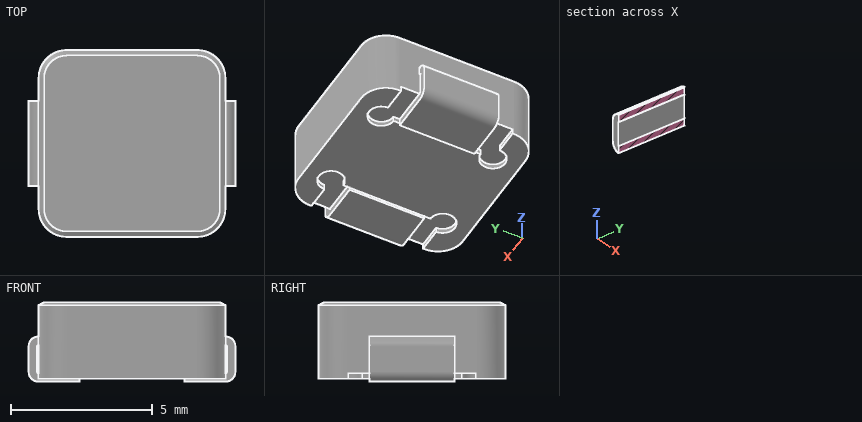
import cadquery as cq

overall_length = 7.3
overall_height = 2.8
standoff = 0.1

body_side = 6.6
corner_radius = 1.0
edge_bevel_width = 0.2
edge_bevel_height = 0.1
face_x = body_side / 2

terminal_width = 3.0
terminal_height = 1.6
terminal_thickness = 0.31
bend_outer_radius = overall_length / 2 - face_x
bend_inner_radius = bend_outer_radius - terminal_thickness
foot_length = 1.8
terminal_x = overall_length / 2
foot_end_x = terminal_x - foot_length

recess_width = 4.48
relief_radius = 0.49


def make_body():
    """Square block with rounded corners and a bevel around the top."""
    block = (
        cq.Workplane("XY")
        .workplane(offset=standoff)
        .rect(body_side, body_side)
        .extrude(overall_height - standoff)
        .edges("|Z")
        .fillet(corner_radius)
    )
    top_edges = block.edges(">Z").vals()
    bevelled = block.val().chamfer(edge_bevel_height, edge_bevel_width, top_edges)
    return cq.Workplane(obj=bevelled)


def make_foot_recess():
    """Shallow recess on the +X side with round reliefs at its two inner corners."""
    recess_depth = terminal_thickness - standoff
    recess_length = face_x - foot_end_x
    recess_center_x = (foot_end_x + face_x) / 2
    underside = cq.Workplane("XY").workplane(offset=standoff)
    recess = underside.center(recess_center_x, 0).rect(recess_length, recess_width).extrude(recess_depth)
    relief_centers = [(foot_end_x, side * recess_width / 2) for side in (-1, 1)]
    reliefs = underside.pushPoints(relief_centers).circle(relief_radius).extrude(recess_depth)
    return recess.union(reliefs)


def make_terminal():
    """Bent strip on the +X side, from the body wall down and under the body."""
    inner_x = terminal_x - terminal_thickness
    inner_top = terminal_height - terminal_thickness
    return (
        cq.Workplane("XZ")
        .moveTo(foot_end_x, 0)
        .lineTo(face_x, 0)
        .radiusArc((terminal_x, bend_outer_radius), -bend_outer_radius)
        .lineTo(terminal_x, terminal_height - bend_outer_radius)
        .radiusArc((face_x, terminal_height), -bend_outer_radius)
        .lineTo(face_x, inner_top)
        .radiusArc((inner_x, inner_top - bend_inner_radius), bend_inner_radius)
        .lineTo(inner_x, terminal_thickness + bend_inner_radius)
        .radiusArc((face_x, terminal_thickness), bend_inner_radius)
        .lineTo(foot_end_x, terminal_thickness)
        .close()
        .extrude(terminal_width / 2, both=True)
    )


result = make_body()
for turn in (0, 180):
    recess_here = make_foot_recess().rotate((0, 0, 0), (0, 0, 1), turn)
    terminal_here = make_terminal().rotate((0, 0, 0), (0, 0, 1), turn)
    result = result.cut(recess_here).union(terminal_here)